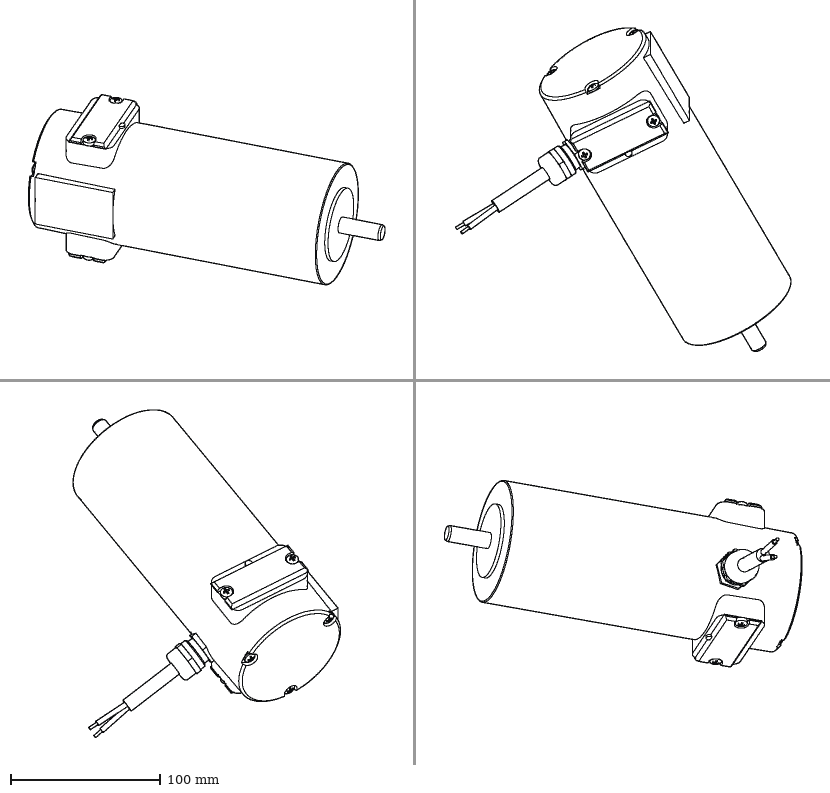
import cadquery as cq
import math

TOTAL_LENGTH = 238.5
BODY_DIA = 83.0
CAP_DIA = 81.0
CAP_LENGTH = 4.5
CAP_BEVEL_AXIAL = 1.5
CAP_BEVEL_RADIAL = 2.0
HOUSING_END = 61.3
BODY_END = 206.3
BODY_END_CHAMFER = 0.7
SPIGOT_DIA = 50.0
SPIGOT_HEIGHT = 2.5
SHAFT_DIA = 11.0
SHAFT_CHAMFER_AXIAL = 1.5
SHAFT_CHAMFER_RADIAL = 0.7

PAD_START = 6.0
PAD_WIDTH = 36.7

BOX_CENTER_X = 38.9
BOX_LENGTH = 33.9
BOX_WIDTH = 60.0
BOX_TOP = 44.1
BOX_FILLET = 6.0
LID_LENGTH = 26.7
LID_WIDTH = 61.0
LID_TOP = 47.2
LID_EDGE_HEIGHT = 1.5
LID_SLOPE = 2.1
LID_END_BEVEL = 2.0
TAB_RADIUS = 2.5
LID_SCREW_Y = 26.2
LID_SLOT_WIDTH = 9.3
LID_SLOT_DEPTH = 3.3

SCREW_HEAD_DIA = 8.0
LID_SCREW_HEIGHT = 4.0
SCREW_DOME_HEIGHT = 1.7
CROSS_SPAN = 4.3
CROSS_ARM = 1.0
CROSS_DEPTH = 1.5

CAP_SCREW_RADIUS = 36.0
CAP_SCREW_ANGLES = (30, 150, 270)
CAP_SLOT_WIDTH = 9.8
CAP_SLOT_DEPTH = 3.0
CAP_SCREW_HEIGHT = 2.9

GLAND_X = 48.7
GLAND_TILT = 20.0
GLAND_DIA = 22.0
GLAND_START = 47.0
GLAND_END = 64.6
GLAND_ROUND = 2.5
GLAND_CHAMFER = 1.0
NECK_DIA = 18.4
HEX_ACROSS_CORNERS = 25.5
HEX_TURN = -8.0
FOOT_HEX_END = 43.2
NUT_HEX_START = 51.8
NUT_HEX_END = 55.5
GLAND_ROOT = 33.5
CABLE_DIA = 9.3
CABLE_END = 105.5

WIRE_DIA = 3.5
WIRE_LENGTH = 23.5
WIRE_OFFSET = 2.1
WIRE_SPREAD = 7.5
WIRE_OVERLAP = 1.5
CONDUCTOR_DIA = 2.0
CONDUCTOR_LENGTH = 6.2


def motor_body():
    """Cap, tapered housing, tube, spigot and shaft as one revolved profile."""
    body_radius = BODY_DIA / 2
    cap_radius = CAP_DIA / 2
    shaft_radius = SHAFT_DIA / 2
    spigot_end = BODY_END + SPIGOT_HEIGHT
    profile = [
        (0, 0),
        (0, cap_radius - CAP_BEVEL_RADIAL),
        (CAP_BEVEL_AXIAL, cap_radius),
        (CAP_LENGTH, cap_radius),
        (HOUSING_END, body_radius),
        (BODY_END - BODY_END_CHAMFER, body_radius),
        (BODY_END, body_radius - BODY_END_CHAMFER),
        (BODY_END, SPIGOT_DIA / 2),
        (spigot_end, SPIGOT_DIA / 2),
        (spigot_end, shaft_radius),
        (TOTAL_LENGTH - SHAFT_CHAMFER_AXIAL, shaft_radius),
        (TOTAL_LENGTH, shaft_radius - SHAFT_CHAMFER_RADIAL),
        (TOTAL_LENGTH, 0),
    ]
    return cq.Workplane("XY").polyline(profile).close().revolve(360, (0, 0, 0), (1, 0, 0))


def side_pad():
    """Flat pad reaching out to the body radius on the -Y side."""
    pad_length = HOUSING_END - PAD_START
    return (
        cq.Workplane("XY")
        .box(pad_length, BODY_DIA / 2, PAD_WIDTH, centered=(False, False, True))
        .translate((PAD_START, -BODY_DIA / 2, 0))
    )


def screw_head(height):
    """Domed cross-recessed head standing on Z = 0."""
    radius = SCREW_HEAD_DIA / 2
    sphere_radius = (radius**2 + SCREW_DOME_HEIGHT**2) / (2 * SCREW_DOME_HEIGHT)
    cylinder = cq.Workplane("XY").circle(radius).extrude(height)
    sphere = cq.Workplane("XY").sphere(sphere_radius).translate((0, 0, height - sphere_radius))
    head = cylinder.intersect(sphere)
    cross = cq.Workplane("XY").box(CROSS_SPAN, CROSS_ARM, 2 * CROSS_DEPTH)
    cross = cross.union(cross.rotate((0, 0, 0), (0, 0, 1), 90)).translate((0, 0, height))
    return head.cut(cross)


def screw_slot(width, depth, reach):
    """Round-bottomed slot centred on the screw and open toward +Y, from Z = 0 up."""
    return (
        cq.Workplane("XY")
        .circle(width / 2)
        .extrude(depth)
        .union(cq.Workplane("XY").box(width, reach, depth, centered=(True, False, False)))
    )


def brush_box():
    """Upper brush box with its bevelled lid, tab and two screws."""
    box = (
        cq.Workplane("XY")
        .rect(BOX_LENGTH, BOX_WIDTH)
        .extrude(BOX_TOP)
        .edges("|Z")
        .fillet(BOX_FILLET)
    )
    lid_height = LID_TOP - BOX_TOP
    half_length = LID_LENGTH / 2
    lid_profile = [
        (-half_length, BOX_TOP),
        (half_length, BOX_TOP),
        (half_length - LID_SLOPE, LID_TOP),
        (LID_SLOPE - half_length, LID_TOP),
    ]
    lid = (
        cq.Workplane("XZ")
        .polyline(lid_profile)
        .close()
        .extrude(LID_WIDTH / 2, both=True)
        .faces(">Z")
        .edges("|X")
        .chamfer(lid_height - LID_EDGE_HEIGHT, LID_END_BEVEL)
    )
    tab = (
        cq.Workplane("XY")
        .workplane(offset=BOX_TOP)
        .center(half_length, 0)
        .circle(TAB_RADIUS)
        .extrude(LID_EDGE_HEIGHT)
    )
    box = box.union(lid).union(tab)
    slot_floor = LID_TOP - LID_SLOT_DEPTH
    slot = screw_slot(LID_SLOT_WIDTH, LID_SLOT_DEPTH, LID_WIDTH / 2)
    screw = screw_head(LID_SCREW_HEIGHT)
    for turn in (0, 180):
        place = (0, LID_SCREW_Y, slot_floor)
        box = box.cut(slot.translate(place).rotate((0, 0, 0), (0, 0, 1), turn))
        box = box.union(screw.translate(place).rotate((0, 0, 0), (0, 0, 1), turn))
    return box.translate((BOX_CENTER_X, 0, 0))


def facing_rear(shape):
    """Turn a shape built along +Z to face -X and set it on the floor of the cap slots."""
    return shape.rotate((0, 0, 0), (0, 1, 0), -90).translate((CAP_SLOT_DEPTH, 0, 0))


def along_gland(start, end, diameter):
    """Cylinder on the Z axis between two heights."""
    return cq.Workplane("XY").workplane(offset=start).circle(diameter / 2).extrude(end - start)


def hex_along_gland(start, end):
    """Hexagonal prism on the Z axis between two heights."""
    return (
        cq.Workplane("XY")
        .workplane(offset=start)
        .polygon(6, HEX_ACROSS_CORNERS)
        .extrude(end - start)
        .rotate((0, 0, 0), (0, 0, 1), HEX_TURN)
    )


def wire(side):
    """One insulated wire with its bare end, leaning to one side of the cable."""
    insulation = along_gland(-WIRE_OVERLAP, WIRE_LENGTH, WIRE_DIA)
    conductor = along_gland(WIRE_LENGTH, WIRE_LENGTH + CONDUCTOR_LENGTH, CONDUCTOR_DIA)
    return (
        insulation.union(conductor)
        .rotate((0, 0, 0), (1, 0, 0), -side * WIRE_SPREAD)
        .translate((0, side * WIRE_OFFSET, CABLE_END))
    )


def cable_gland():
    """Gland, cable and wires, built along +Z and then tilted below the +Y direction."""
    gland = (
        along_gland(GLAND_START, GLAND_END, GLAND_DIA)
        .faces(">Z")
        .edges()
        .fillet(GLAND_ROUND)
        .faces("<Z")
        .edges()
        .chamfer(GLAND_CHAMFER)
    )
    gland = gland.union(along_gland(GLAND_ROOT, GLAND_START, NECK_DIA))
    gland = gland.union(hex_along_gland(GLAND_ROOT, FOOT_HEX_END))
    gland = gland.union(hex_along_gland(NUT_HEX_START, NUT_HEX_END))
    gland = gland.union(along_gland(GLAND_ROOT, CABLE_END, CABLE_DIA))
    for side in (1, -1):
        gland = gland.union(wire(side))
    return gland.rotate((0, 0, 0), (1, 0, 0), -90 - GLAND_TILT).translate((GLAND_X, 0, 0))


upper_box = brush_box()
result = (
    motor_body()
    .union(side_pad())
    .union(upper_box)
    .union(upper_box.mirror("XY"))
    .union(cable_gland())
)

cap_slot = facing_rear(screw_slot(CAP_SLOT_WIDTH, CAP_SLOT_DEPTH, CAP_DIA / 2))
cap_screw = facing_rear(screw_head(CAP_SCREW_HEIGHT))
for angle in CAP_SCREW_ANGLES:
    screw_y = CAP_SCREW_RADIUS * math.cos(math.radians(angle))
    screw_z = CAP_SCREW_RADIUS * math.sin(math.radians(angle))
    place = (0, screw_y, screw_z)
    result = result.cut(cap_slot.rotate((0, 0, 0), (1, 0, 0), angle).translate(place))
    result = result.union(cap_screw.translate(place))